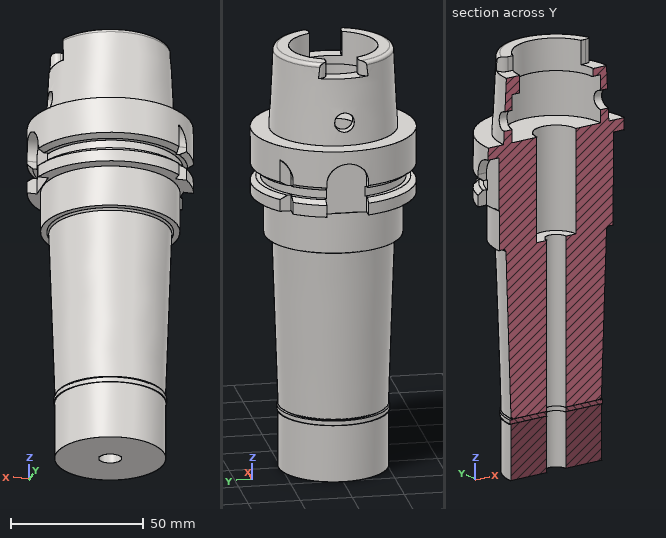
import cadquery as cq
import math

TOTAL_HEIGHT = 167.0
SHANK_HEIGHT = 32.0
FLANGE_HEIGHT = 26.0
COLLAR_HEIGHT = 16.0
NUT_HEIGHT = 22.5
RING_HEIGHT = 1.8
GAP_HEIGHT = 0.5
FLANGE_TOP = TOTAL_HEIGHT - SHANK_HEIGHT
FLANGE_BOTTOM = FLANGE_TOP - FLANGE_HEIGHT
COLLAR_BOTTOM = FLANGE_BOTTOM - COLLAR_HEIGHT
RING_TOP = NUT_HEIGHT + RING_HEIGHT
NECK_BOTTOM = RING_TOP + GAP_HEIGHT

FLANGE_DIAMETER = 63.0
COLLAR_DIAMETER = 52.8
SHANK_BASE_DIAMETER = 48.8
SHANK_TOP_DIAMETER = 45.8
NECK_TOP_DIAMETER = 46.6
NECK_BOTTOM_DIAMETER = 42.0
GAP_DIAMETER = 40.4
RING_DIAMETER = 42.8
NUT_DIAMETER = 42.1

SHANK_RIM_RADIUS = 1.5
NECK_ROOT_HEIGHT = 0.8
NECK_ROOT_WIDTH = 0.7

GROOVE_DIAMETER = 55.1
GROOVE_DEPTH_FROM_FACE = 17.9
GROOVE_MOUTH = 7.0
GROOVE_FLOOR = 3.8
GROOVE_BEVEL = 2.2

SHANK_BORE_DIAMETER = 33.7
UNDERCUT_DIAMETER = 40.7
UNDERCUT_DEPTH = 13.0
COUNTERBORE_DIAMETER = 17.9
THROUGH_BORE_DIAMETER = 8.7

SLOT_WIDTH = 12.4
SLOT_MOUTH_RADIUS = 3.2
SLOT_MOUTH_OFFSET = 21.0
SHALLOW_SLOT_DEPTH = 5.8
DEEP_SLOT_DEPTH = 9.7

CROSS_HOLE_DIAMETER = 7.5
CROSS_HOLE_DEPTH = 23.0

KEYWAY_WIDTH = 16.0
KEYWAY_FLOOR_OFFSET = 26.5
KEYWAY_TOP_GAP = 5.0

NOTCH_WIDTH = 16.0
NOTCH_INNER_EDGE = 19.9
NOTCH_FLOOR_OFFSET = 20.2
NOTCH_TOP_GAP = 4.7


def turned_holder():
    """Solid of revolution of the holder's outer shape, before any bores and cuts."""
    flange_radius = FLANGE_DIAMETER / 2
    collar_radius = COLLAR_DIAMETER / 2
    gap_radius = GAP_DIAMETER / 2
    neck_top_radius = NECK_TOP_DIAMETER / 2
    shank_top_radius = SHANK_TOP_DIAMETER / 2
    groove_radius = GROOVE_DIAMETER / 2
    bevel_radius = flange_radius - GROOVE_BEVEL
    groove_center = FLANGE_TOP - GROOVE_DEPTH_FROM_FACE
    groove_low = groove_center - GROOVE_FLOOR / 2
    groove_high = groove_center + GROOVE_FLOOR / 2
    rim_start = TOTAL_HEIGHT - SHANK_RIM_RADIUS
    rim_bend = SHANK_RIM_RADIUS * (1 - math.sqrt(0.5))
    outline = (
        cq.Workplane("XZ")
        .moveTo(0, RING_TOP)
        .lineTo(gap_radius, RING_TOP)
        .lineTo(gap_radius, NECK_BOTTOM)
        .lineTo(NECK_BOTTOM_DIAMETER / 2, NECK_BOTTOM)
        .lineTo(neck_top_radius, COLLAR_BOTTOM - NECK_ROOT_HEIGHT)
        .lineTo(neck_top_radius + NECK_ROOT_WIDTH, COLLAR_BOTTOM)
        .lineTo(collar_radius, COLLAR_BOTTOM)
        .lineTo(collar_radius, FLANGE_BOTTOM)
        .lineTo(flange_radius, FLANGE_BOTTOM)
        .lineTo(flange_radius, groove_center - GROOVE_MOUTH / 2)
        .lineTo(bevel_radius, groove_low)
        .lineTo(groove_radius, groove_low)
        .lineTo(groove_radius, groove_high)
        .lineTo(bevel_radius, groove_high)
        .lineTo(flange_radius, groove_center + GROOVE_MOUTH / 2)
        .lineTo(flange_radius, FLANGE_TOP)
        .lineTo(SHANK_BASE_DIAMETER / 2, FLANGE_TOP)
        .lineTo(shank_top_radius, rim_start)
        .threePointArc(
            (shank_top_radius - rim_bend, TOTAL_HEIGHT - rim_bend),
            (shank_top_radius - SHANK_RIM_RADIUS, TOTAL_HEIGHT),
        )
        .lineTo(0, TOTAL_HEIGHT)
        .close()
    )
    return outline.revolve(360, (0, 0), (0, 1))


def cylinder(diameter, bottom, top):
    return cq.Workplane("XY").workplane(offset=bottom).circle(diameter / 2).extrude(top - bottom)


def drive_slot(side, depth):
    """Radial slot with rounded, flared mouth corners; side is +1 for +X and -1 for -X."""
    half_width = SLOT_WIDTH / 2
    mouth_half = half_width + SLOT_MOUTH_RADIUS
    outer = FLANGE_DIAMETER / 2
    arc_start = SLOT_MOUTH_OFFSET - SLOT_MOUTH_RADIUS
    bend = SLOT_MOUTH_RADIUS * math.sqrt(0.5)
    arc_middle = (side * (arc_start + bend), mouth_half - bend)
    outline = (
        cq.Workplane("XY")
        .workplane(offset=TOTAL_HEIGHT - depth)
        .moveTo(0, half_width)
        .lineTo(side * arc_start, half_width)
        .threePointArc(arc_middle, (side * SLOT_MOUTH_OFFSET, mouth_half))
        .lineTo(side * SLOT_MOUTH_OFFSET, outer)
        .lineTo(side * outer, outer)
        .lineTo(side * outer, 0)
        .lineTo(0, 0)
        .close()
    )
    half_slot = outline.extrude(depth)
    return half_slot.union(half_slot.mirror("XZ"))


def arched_cut(side, center_y, width, floor_offset, top_gap):
    """Round-topped cutter, open towards the flange underside, with its floor facing the given X side."""
    radius = width / 2
    arch_center = FLANGE_TOP - top_gap - radius
    outline = (
        cq.Workplane("YZ")
        .workplane(offset=side * floor_offset)
        .moveTo(center_y - radius, FLANGE_BOTTOM)
        .lineTo(center_y - radius, arch_center)
        .threePointArc((center_y, arch_center + radius), (center_y + radius, arch_center))
        .lineTo(center_y + radius, FLANGE_BOTTOM)
        .close()
    )
    return outline.extrude(side * (FLANGE_DIAMETER / 2 - floor_offset))


def make_holder():
    holder = turned_holder()
    undercut_top = TOTAL_HEIGHT - UNDERCUT_DEPTH
    holder = holder.cut(cylinder(SHANK_BORE_DIAMETER, undercut_top, TOTAL_HEIGHT))
    holder = holder.cut(cylinder(UNDERCUT_DIAMETER, FLANGE_TOP, undercut_top))
    holder = holder.cut(cylinder(COUNTERBORE_DIAMETER, COLLAR_BOTTOM, FLANGE_TOP))
    holder = holder.cut(cylinder(THROUGH_BORE_DIAMETER, RING_TOP, COLLAR_BOTTOM))
    for side, depth in ((-1, SHALLOW_SLOT_DEPTH), (1, DEEP_SLOT_DEPTH)):
        holder = holder.cut(drive_slot(side, depth))
    cross_hole = (
        cq.Workplane("YZ")
        .center(0, TOTAL_HEIGHT - CROSS_HOLE_DEPTH)
        .circle(CROSS_HOLE_DIAMETER / 2)
        .extrude(FLANGE_DIAMETER / 2, both=True)
    )
    holder = holder.cut(cross_hole)
    for side in (-1, 1):
        holder = holder.cut(arched_cut(side, 0, KEYWAY_WIDTH, KEYWAY_FLOOR_OFFSET, KEYWAY_TOP_GAP))
    notch_center = NOTCH_INNER_EDGE + NOTCH_WIDTH / 2
    return holder.cut(arched_cut(-1, notch_center, NOTCH_WIDTH, NOTCH_FLOOR_OFFSET, NOTCH_TOP_GAP))


def bored_disc(diameter, bottom, top):
    return cylinder(diameter, bottom, top).cut(cylinder(THROUGH_BORE_DIAMETER, bottom, top))


holder = make_holder()
ring = bored_disc(RING_DIAMETER, NUT_HEIGHT, RING_TOP)
nut = bored_disc(NUT_DIAMETER, 0, NUT_HEIGHT)

result = cq.Compound.makeCompound([holder.val(), ring.val(), nut.val()])